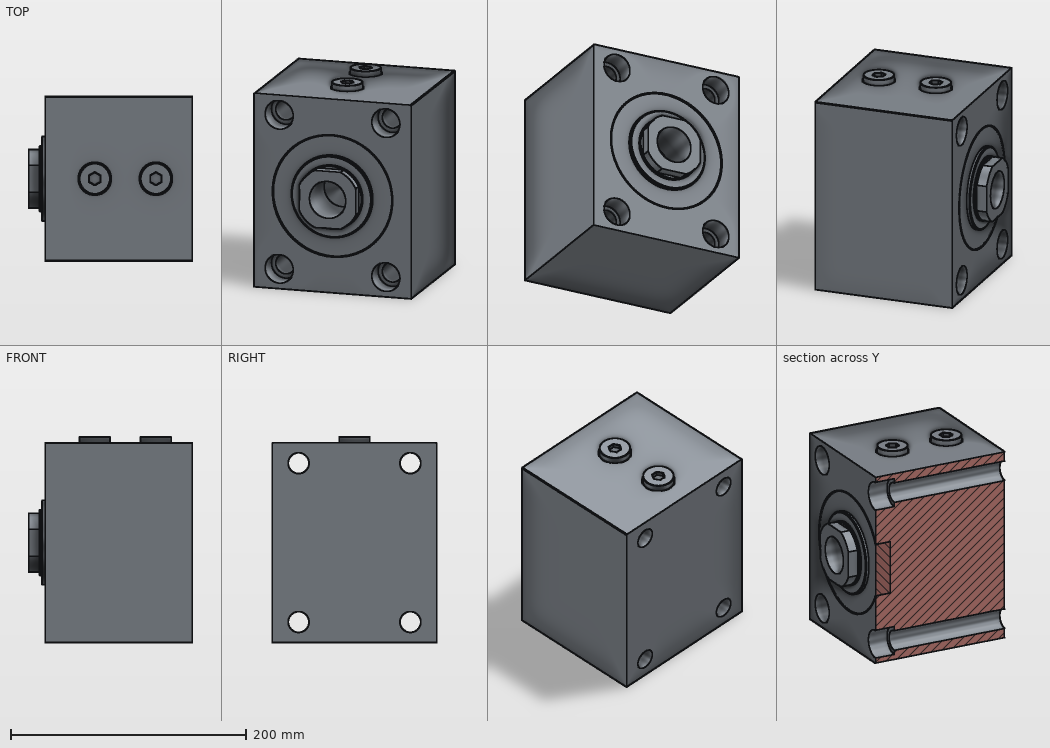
import cadquery as cq
import math

block_length = 125.0
block_width = 140.0
overall_height = 174.9
plug_protrusion = 4.9
block_height = overall_height - plug_protrusion
block_top = block_height / 2
top_edge_chamfer = 0.7

mount_spacing_y = 95.0
mount_spacing_z = 135.0
mount_hole_diameter = 17.5
counterbore_diameter = 25.0
counterbore_depth = 18.0

gland_diameter = 105.6
gland_depth = 14.0
gland_seat_chamfer = 0.9
collar_diameter = 72.0
collar_protrusion = 3.0
collar_chamfer_radial = 1.0
collar_chamfer_axial = 0.7

rod_protrusion = 14.0
rod_diameter = 56.0
rod_nose_length = 9.0
rod_nose_diameter = 55.1
rod_shoulder_chamfer = 0.7
rod_flats_width = 50.0
rod_hole_diameter = 32.4
rod_hole_depth = 42.0
drill_point_angle = 118.0
rod_end_wall = 10.5
drill_point_length = rod_hole_diameter / 2 / math.tan(math.radians(drill_point_angle / 2))
rod_front = -rod_protrusion
rod_shoulder = rod_front + rod_nose_length
rod_length = rod_hole_depth + drill_point_length + rod_end_wall
rod_back = rod_front + rod_length

plug_first_x = 42.2
plug_pitch = 52.0
plug_positions = [plug_first_x, plug_first_x + plug_pitch]
plug_diameter = 26.2
plug_rim_chamfer = 0.3
spotface_diameter = 28.2
spotface_depth = 1.7
plug_height = plug_protrusion + spotface_depth
hex_across_flats = 9.3
hex_across_corners = hex_across_flats / math.cos(math.pi / 6)
hex_depth = 3.5
hex_mouth_chamfer = 0.3


def x_cylinder(diameter, start, end):
    """Cylinder on the rod axis between two X positions."""
    return cq.Workplane("YZ", origin=(start, 0, 0)).circle(diameter / 2).extrude(end - start)


def front_face_holes(diameter, depth):
    """Four cylinders on the mounting hole pattern, running back from the front face."""
    return (
        cq.Workplane("YZ")
        .rect(mount_spacing_y, mount_spacing_z, forConstruction=True)
        .vertices()
        .circle(diameter / 2)
        .extrude(depth)
    )


def make_block():
    block = cq.Workplane("XY").box(block_length, block_width, block_height, centered=(False, True, True))
    block = block.faces(">Z").edges("|X").chamfer(top_edge_chamfer)

    block = block.cut(front_face_holes(mount_hole_diameter, block_length))
    block = block.cut(front_face_holes(counterbore_diameter, counterbore_depth))

    block = block.cut(x_cylinder(gland_diameter, 0, gland_depth))
    block = block.faces("<X").edges(cq.selectors.RadiusNthSelector(-1)).chamfer(gland_seat_chamfer)
    block = block.cut(x_cylinder(rod_diameter, gland_depth, rod_back))

    spotfaces = (
        cq.Workplane("XY", origin=(0, 0, block_top - spotface_depth))
        .pushPoints([(x, 0) for x in plug_positions])
        .circle(spotface_diameter / 2)
        .extrude(spotface_depth)
    )
    return block.cut(spotfaces)


def make_gland():
    outer_radius = gland_diameter / 2
    bore_radius = rod_diameter / 2
    collar_radius = collar_diameter / 2
    return (
        cq.Workplane("XY")
        .moveTo(gland_depth, bore_radius)
        .lineTo(-collar_protrusion, bore_radius)
        .lineTo(-collar_protrusion, collar_radius - collar_chamfer_radial)
        .lineTo(collar_chamfer_axial - collar_protrusion, collar_radius)
        .lineTo(0, collar_radius)
        .lineTo(0, outer_radius)
        .lineTo(gland_depth, outer_radius)
        .close()
        .revolve(360, (0, 0, 0), (1, 0, 0))
    )


def make_rod():
    shank = x_cylinder(rod_diameter, rod_shoulder, rod_back).faces("<X").chamfer(rod_shoulder_chamfer)
    flats = cq.Workplane("YZ", origin=(rod_front, 0, 0)).rect(rod_flats_width, rod_flats_width)
    nose = x_cylinder(rod_nose_diameter, rod_front, rod_shoulder).intersect(flats.extrude(rod_nose_length))

    hole_end = rod_front + rod_hole_depth
    drilled_hole = (
        cq.Workplane("XY")
        .moveTo(rod_front, 0)
        .lineTo(rod_front, rod_hole_diameter / 2)
        .lineTo(hole_end, rod_hole_diameter / 2)
        .lineTo(hole_end + drill_point_length, 0)
        .close()
        .revolve(360, (0, 0, 0), (1, 0, 0))
    )
    return shank.union(nose).cut(drilled_hole)


def make_plug(x):
    plug = cq.Workplane("XY", origin=(x, 0, block_top - spotface_depth))
    plug = plug.circle(plug_diameter / 2).extrude(plug_height)
    plug = plug.faces(">Z").chamfer(plug_rim_chamfer)
    socket = (
        cq.Workplane("XY", origin=(x, 0, block_top + plug_protrusion))
        .transformed(rotate=(0, 0, 30))
        .polygon(6, hex_across_corners)
        .extrude(-hex_depth)
    )
    plug = plug.cut(socket)
    return plug.faces(">Z").edges("%LINE").chamfer(hex_mouth_chamfer)


block = make_block()
gland = make_gland()
rod = make_rod()
plugs = [make_plug(x) for x in plug_positions]

result = cq.Compound.makeCompound(
    [block.val(), gland.val(), rod.val(), *[plug.val() for plug in plugs]]
)